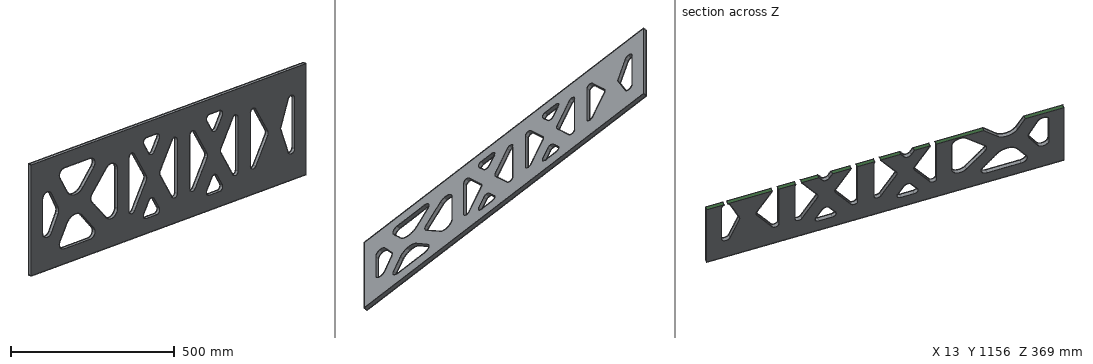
import cadquery as cq
import math

thickness = 13.0
length = 1156.0
height = 369.0

end_margin = 49.0
outer_flat = length / 2 - end_margin
small_bay_width = 202.0
wide_bay_inner_flat = -215.0

brace_angle = math.radians(30)
side_depth = 76.0
side_half_base = side_depth / math.tan(brace_angle)
side_corner_radius = 12.0
side_tip_radius = 16.0

first_bay_inner_flat = 344.0
slim_depth = 59.0
slim_half_base = 162.0
slim_corner_radius = 14.0
slim_tip_radius = 3.0

small_bays = [(191.0, 193.0), (-65.0, -72.0)]
window_edge_height = 134.0
small_window_depth = 75.0
small_half_width = small_window_depth * math.tan(brace_angle)
small_window_radius = 13.0

wide_inner_depth = 119.0
wide_inner_half_base = 135.0
wide_inner_corner_radius = 27.0
wide_inner_tip_radius = 21.0
wide_outer_depth = 70.0
wide_outer_half_base = 136.0
wide_outer_corner_radius = 20.0
wide_outer_tip_radius = 27.0
wide_pair_outer_y = -473.0
wide_pair_inner_y = -287.0
wide_pair_apex_y = -399.0
wide_pair_apex_z = 2.0
wide_pair_corner_radius = 20.0
wide_pair_apex_radius = 40.0


def triangular_window(base_start, base_end, apex, corner_radius, apex_radius):
    """Through-plate triangular cutter with rounded corners; points are (y, z)."""
    cutter = (
        cq.Workplane("YZ")
        .polyline([base_start, base_end, apex])
        .close()
        .extrude(thickness / 2, both=True)
    )
    rounding = [(base_start, corner_radius), (base_end, corner_radius), (apex, apex_radius)]
    for (y, z), radius in rounding:
        corner = cq.selectors.NearestToPointSelector((0, y, z))
        cutter = cutter.edges("|X").edges(corner).fillet(radius)
    return cutter


def side_window(flat_y, tip_y, half_base, corner_radius, tip_radius):
    """Window with an upright flat side and a tip at mid height."""
    return triangular_window(
        (flat_y, -half_base), (flat_y, half_base), (tip_y, 0), corner_radius, tip_radius
    )


def standard_side_window(flat_y, direction):
    """Standard side window whose tip points along Y in the given direction."""
    tip_y = flat_y + direction * side_depth
    return side_window(flat_y, tip_y, side_half_base, side_corner_radius, side_tip_radius)


def window_pair(start_y, end_y, apex_y, apex_z, corner_radius, apex_radius):
    """Matching windows above and below mid height, apexes facing each other."""
    return [
        triangular_window(
            (start_y, sign * window_edge_height),
            (end_y, sign * window_edge_height),
            (apex_y, sign * apex_z),
            corner_radius,
            apex_radius,
        )
        for sign in (1, -1)
    ]


windows = [
    side_window(
        outer_flat, outer_flat - slim_depth, slim_half_base, slim_corner_radius, slim_tip_radius
    ),
    standard_side_window(first_bay_inner_flat, 1),
]

for bay_y, pair_y in small_bays:
    windows.append(standard_side_window(bay_y + small_bay_width / 2, -1))
    windows.append(standard_side_window(bay_y - small_bay_width / 2, 1))
    windows += window_pair(
        pair_y - small_half_width,
        pair_y + small_half_width,
        pair_y,
        window_edge_height - small_window_depth,
        small_window_radius,
        small_window_radius,
    )

windows.append(
    side_window(
        wide_bay_inner_flat,
        wide_bay_inner_flat - wide_inner_depth,
        wide_inner_half_base,
        wide_inner_corner_radius,
        wide_inner_tip_radius,
    )
)
windows.append(
    side_window(
        -outer_flat,
        -outer_flat + wide_outer_depth,
        wide_outer_half_base,
        wide_outer_corner_radius,
        wide_outer_tip_radius,
    )
)
windows += window_pair(
    wide_pair_outer_y,
    wide_pair_inner_y,
    wide_pair_apex_y,
    wide_pair_apex_z,
    wide_pair_corner_radius,
    wide_pair_apex_radius,
)

result = cq.Workplane("XY").box(thickness, length, height)
for window in windows:
    result = result.cut(window)